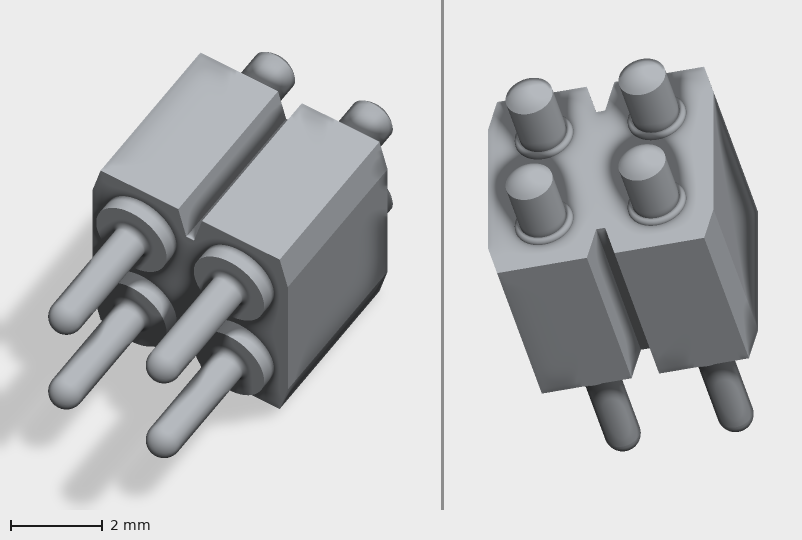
import cadquery as cq
import math

pitch = 2.54
columns = 2
rows = 2

housing_width = columns * pitch
housing_height = rows * pitch
housing_length = 4.0
notch_depth = 0.8
notch_half_mouth = 0.31
notch_half_floor = 0.1
side_taper = notch_half_mouth - notch_half_floor

flange_diameter = 1.83
flange_thickness = 0.4
tail_diameter = 0.8
tail_length = 3.0
tail_root_fillet = 0.1
collar_diameter = 1.32
collar_height = 0.1
plunger_diameter = 1.06
plunger_length = 1.6
dome_height = 0.25

housing_front = -housing_length / 2
housing_back = housing_length / 2
flange_front = housing_front - flange_thickness
tail_tip = flange_front - tail_length
collar_back = housing_back + collar_height
plunger_tip = housing_back + plunger_length
dome_start = plunger_tip - dome_height

pin_centers = [
    ((column - (columns - 1) / 2) * pitch, (row - (rows - 1) / 2) * pitch)
    for column in range(columns)
    for row in range(rows)
]


def make_housing():
    """Block with tapered sides, a V notch above and below, and a bore for each pin."""
    half_width = housing_width / 2
    half_height = housing_height / 2
    notch_floor = half_height - notch_depth
    right_side = [
        (notch_half_floor, notch_floor),
        (notch_half_mouth, half_height),
        (half_width - side_taper, half_height),
        (half_width, notch_floor),
    ]
    right_side += [(x, -z) for x, z in reversed(right_side)]
    left_side = [(-x, -z) for x, z in right_side]
    block = (
        cq.Workplane("XZ", origin=(0, housing_back, 0))
        .polyline(right_side + left_side)
        .close()
        .extrude(housing_length)
    )
    bores = (
        cq.Workplane("XZ", origin=(0, housing_back, 0))
        .pushPoints(pin_centers)
        .circle(collar_diameter / 2)
        .extrude(housing_length)
    )
    return block.cut(bores)


def make_pin():
    """Spring contact turned about Y: round-nosed tail, flange, barrel and domed plunger."""
    tail_radius = tail_diameter / 2
    flange_radius = flange_diameter / 2
    barrel_radius = collar_diameter / 2
    plunger_radius = plunger_diameter / 2
    diagonal = math.sqrt(0.5)

    nose_center = tail_tip + tail_radius
    nose_middle = (tail_radius * diagonal, nose_center - tail_radius * diagonal)

    root_radius = tail_radius + tail_root_fillet
    root_start = flange_front - tail_root_fillet
    root_middle = (
        root_radius - tail_root_fillet * diagonal,
        root_start + tail_root_fillet * diagonal,
    )

    rounding_radius = barrel_radius - collar_height
    rounding_middle = (
        rounding_radius + collar_height * diagonal,
        housing_back + collar_height * diagonal,
    )

    dome_radius = (plunger_radius**2 + dome_height**2) / (2 * dome_height)
    dome_center = plunger_tip - dome_radius
    dome_half_angle = math.asin(plunger_radius / dome_radius) / 2
    dome_middle = (
        dome_radius * math.sin(dome_half_angle),
        dome_center + dome_radius * math.cos(dome_half_angle),
    )

    return (
        cq.Workplane("XY")
        .moveTo(0, tail_tip)
        .threePointArc(nose_middle, (tail_radius, nose_center))
        .lineTo(tail_radius, root_start)
        .threePointArc(root_middle, (root_radius, flange_front))
        .lineTo(flange_radius, flange_front)
        .lineTo(flange_radius, housing_front)
        .lineTo(barrel_radius, housing_front)
        .lineTo(barrel_radius, housing_back)
        .threePointArc(rounding_middle, (rounding_radius, collar_back))
        .lineTo(plunger_radius, collar_back)
        .lineTo(plunger_radius, dome_start)
        .threePointArc(dome_middle, (0, plunger_tip))
        .close()
        .revolve(360, (0, 0, 0), (0, 1, 0))
    )


housing = make_housing()
pin = make_pin()
pins = [pin.translate((x, 0, z)) for x, z in pin_centers]

result = cq.Compound.makeCompound([housing.val(), *[placed.val() for placed in pins]])